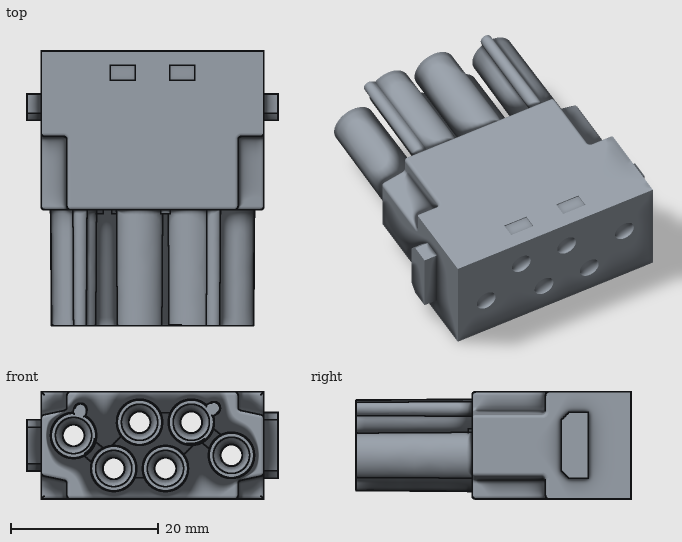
import cadquery as cq
import math

OVERALL_LENGTH = 37.4

BODY_WIDTH = 30.3
BODY_DEPTH = 21.6
BODY_HEIGHT = 14.6
EDGE_RADIUS = 0.5

NOTCH_WIDTH = 3.5
NOTCH_DEPTH = 10.0
NOTCH_FLOOR_AT_SIDE = 4.08
NOTCH_FLOOR_AT_WALL = 4.82

TAB_REACH = 1.95
TAB_FRONT = 12.15
TAB_LENGTH = 3.63
TAB_CHAMFER = 1.0
LEFT_TAB_HEIGHT = 7.0
RIGHT_TAB_HEIGHT = 8.98

WINDOW_WIDTH = 3.45
WINDOW_LENGTH = 2.0
WINDOW_DEPTH = 0.15
WINDOW_OFFSET = 4.05
WINDOW_BACK_MARGIN = 2.0

TUBE_CENTERS = {
    1: (-10.75, 1.35),
    2: (-5.27, -3.15),
    3: (-1.75, 3.15),
    4: (1.75, -3.15),
    5: (5.27, 3.15),
    6: (10.75, -1.35),
}
TUBE_LENGTH = OVERALL_LENGTH - BODY_DEPTH
TUBE_RADIUS = 3.15
TUBE_DRAFT = 0.4
TIP_RADIUS = 0.15
BORE_RADIUS = 1.45
MOUTH_RADIUS = 2.45
MOUTH_DEPTH = 2.0

RIB_ANGLES = {1: 75.0, 5: 32.0}
RIB_RADIUS = 0.9
RIB_CENTER_DISTANCE = 3.63

PAD_HEIGHT = 0.52
PAD_BAND_WIDTH = 2.45
PAD_BAND_PAIRS = [(1, 2), (5, 6)]
PAD_HALF_HEIGHT = 4.4
PAD_SLANT_OFFSET = 5.5
PAD_SHOULDER_X = 6.75


def front_plane(y=0.0):
    """XZ sketch plane at the given y; positive extrusion runs towards -Y."""
    return cq.Workplane("XZ", origin=(0, y, 0))


def make_notch(side, level):
    """Cutter for one notch; side is the sign of X, level the sign of Z."""
    side_x = BODY_WIDTH / 2
    wall_x = side_x - NOTCH_WIDTH
    top_z = BODY_HEIGHT / 2
    corners = [
        (wall_x, top_z),
        (wall_x, NOTCH_FLOOR_AT_WALL),
        (side_x, NOTCH_FLOOR_AT_SIDE),
        (side_x, top_z),
    ]
    placed = [(side * x, level * z) for x, z in corners]
    return front_plane(NOTCH_DEPTH).polyline(placed).close().extrude(NOTCH_DEPTH)


def make_body():
    """Notched block with its notch and front edges rounded."""
    body = cq.Workplane("XY").box(BODY_WIDTH, BODY_DEPTH, BODY_HEIGHT)
    body = body.translate((0, BODY_DEPTH / 2, 0))
    for side in (-1, 1):
        for level in (-1, 1):
            body = body.cut(make_notch(side, level))
    rounded_zone = cq.selectors.BoxSelector(
        (-BODY_WIDTH, -EDGE_RADIUS, -BODY_HEIGHT),
        (BODY_WIDTH, NOTCH_DEPTH + EDGE_RADIUS, BODY_HEIGHT),
    )
    return body.edges(rounded_zone).fillet(EDGE_RADIUS)


def make_tab(side, height):
    """Side tab with its two front corners chamfered."""
    tab = cq.Workplane("XY").box(TAB_REACH, TAB_LENGTH, height)
    tab = tab.faces("<Y").edges("|X").chamfer(TAB_CHAMFER)
    center_x = side * (BODY_WIDTH + TAB_REACH) / 2
    return tab.translate((center_x, TAB_FRONT + TAB_LENGTH / 2, 0))


def make_windows():
    """Cutter for the pair of shallow windows in the top face."""
    center_y = BODY_DEPTH - WINDOW_BACK_MARGIN - WINDOW_LENGTH / 2
    return (
        cq.Workplane("XY", origin=(0, center_y, BODY_HEIGHT / 2))
        .pushPoints([(-WINDOW_OFFSET, 0), (WINDOW_OFFSET, 0)])
        .rect(WINDOW_WIDTH, WINDOW_LENGTH)
        .extrude(-WINDOW_DEPTH)
    )


def make_tube(center):
    """Solid drafted tube with a rounded tip rim."""
    tube = front_plane().center(*center).circle(TUBE_RADIUS).extrude(TUBE_LENGTH, taper=TUBE_DRAFT)
    return tube.faces("<Y").edges().fillet(TIP_RADIUS)


def make_rib(center, angle):
    """Drafted round-topped rib along a tube, pointing away from the tube axis."""
    rib = (
        front_plane()
        .slot2D(RIB_CENTER_DISTANCE + 2 * RIB_RADIUS, 2 * RIB_RADIUS)
        .extrude(TUBE_LENGTH, taper=TUBE_DRAFT)
        .faces("<Y")
        .edges()
        .fillet(TIP_RADIUS)
        .translate((RIB_CENTER_DISTANCE / 2, 0, 0))
        .rotate((0, 0, 0), (0, 1, 0), -angle)
    )
    return rib.translate((center[0], 0, center[1]))


def make_bore(center):
    """Cutter for a through bore with a conical lead-in at the tube tip."""
    axis_x, axis_z = center
    bore = front_plane(BODY_DEPTH).center(*center).circle(BORE_RADIUS).extrude(OVERALL_LENGTH)
    mouth = cq.Solid.makeCone(
        MOUTH_RADIUS,
        BORE_RADIUS,
        MOUTH_DEPTH,
        pnt=cq.Vector(axis_x, -TUBE_LENGTH, axis_z),
        dir=cq.Vector(0, 1, 0),
    )
    return bore.union(cq.Workplane(mouth))


def make_pad_band(start, end):
    """Straight pad strip from one tube axis to another."""
    run_x = end[0] - start[0]
    run_z = end[1] - start[1]
    length = math.hypot(run_x, run_z)
    angle = math.degrees(math.atan2(run_z, run_x))
    band = front_plane().rect(length, PAD_BAND_WIDTH).extrude(PAD_HEIGHT)
    band = band.rotate((0, 0, 0), (0, 1, 0), -angle)
    return band.translate(((start[0] + end[0]) / 2, 0, (start[1] + end[1]) / 2))


def make_pad_center():
    """Six-sided pad between tubes 2 to 5, unchanged by a half turn about Y."""
    half_outline = [
        (PAD_HALF_HEIGHT - PAD_SLANT_OFFSET, PAD_HALF_HEIGHT),
        (TUBE_CENTERS[5][0], PAD_HALF_HEIGHT),
        (PAD_SHOULDER_X, PAD_SHOULDER_X - PAD_SLANT_OFFSET),
    ]
    other_half = [(-x, -z) for x, z in half_outline]
    return front_plane().polyline(half_outline + other_half).close().extrude(PAD_HEIGHT)


result = make_body().cut(make_windows())
result = result.union(make_tab(-1, LEFT_TAB_HEIGHT))
result = result.union(make_tab(1, RIGHT_TAB_HEIGHT))

result = result.union(make_pad_center())
for first, second in PAD_BAND_PAIRS:
    result = result.union(make_pad_band(TUBE_CENTERS[first], TUBE_CENTERS[second]))

for tube_center in TUBE_CENTERS.values():
    result = result.union(make_tube(tube_center))
for number, rib_angle in RIB_ANGLES.items():
    result = result.union(make_rib(TUBE_CENTERS[number], rib_angle))
for tube_center in TUBE_CENTERS.values():
    result = result.cut(make_bore(tube_center))